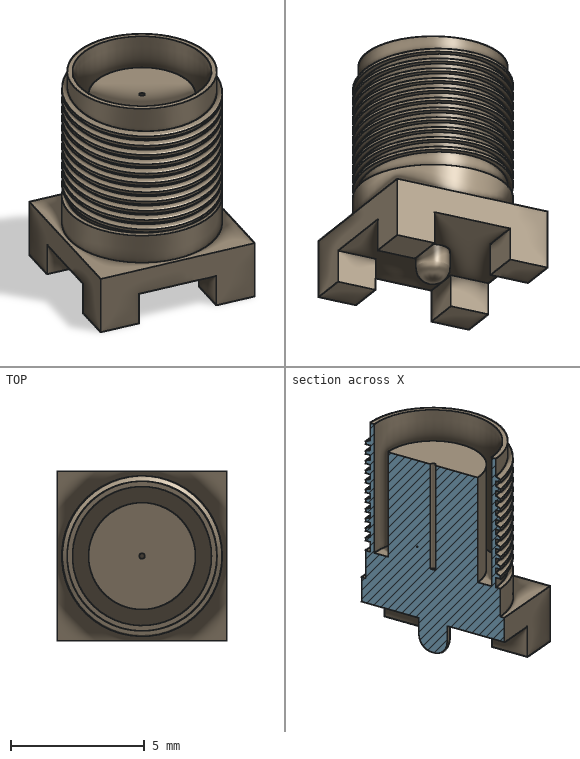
import cadquery as cq


foot_top = 1.27
base_top = 2.31
collar_top = 3.47
barrel_top = 8.84

base_width = 6.35
foot_width = 1.58

barrel_diameter = 5.6
bore_diameter = 5.2
collar_diameter = 6.0
bore_floor = collar_top

insulator_diameter = 4.0
insulator_recess = 1.0
insulator_top = barrel_top - insulator_recess
socket_diameter = 0.2
socket_floor = bore_floor

pin_diameter = 1.27
pin_end_radius = 0.58

ring_count = 11
ring_pitch = 0.402
ring_tilt = 5.0
top_ring_height = 7.885
ring_diameter = collar_diameter
ring_tip_width = 0.12
ring_shoulder_diameter = 5.9
ring_shoulder_width = 0.16
ring_root_width = 0.21
ring_embed = 0.07


def cylinder(diameter, bottom, top):
    """Upright cylinder on the Z axis between two heights."""
    return cq.Workplane("XY").workplane(offset=bottom).circle(diameter / 2).extrude(top - bottom)


def square_base():
    """Square plate with a square foot under each corner."""
    plate_thickness = base_top - foot_top
    plate = cq.Workplane("XY").workplane(offset=foot_top).rect(base_width, base_width).extrude(plate_thickness)
    foot_spacing = base_width - foot_width
    feet = (
        cq.Workplane("XY")
        .rect(foot_spacing, foot_spacing, forConstruction=True)
        .vertices()
        .rect(foot_width, foot_width)
        .extrude(foot_top)
    )
    return plate.union(feet)


def solder_pin():
    """Pin with a rounded lower end."""
    return cylinder(pin_diameter, 0, foot_top).faces("<Z").edges().fillet(pin_end_radius)


def thread_ring(height):
    """One ring, tilted down towards +X, with a flat underside that crosses the Z axis at the given height."""
    root_radius = barrel_diameter / 2
    inner_radius = root_radius - ring_embed
    tip_radius = ring_diameter / 2
    profile = [
        (inner_radius, 0),
        (tip_radius, 0),
        (tip_radius, ring_tip_width),
        (ring_shoulder_diameter / 2, ring_shoulder_width),
        (root_radius, ring_root_width),
        (inner_radius, ring_root_width),
    ]
    ring = cq.Workplane("XZ").polyline(profile).close().revolve(360, (0, 0), (0, 1))
    return ring.rotate((0, 0, 0), (0, 1, 0), ring_tilt).translate((0, 0, height))


def threaded_barrel():
    """Collar and hollow barrel with the thread rings around it."""
    barrel = cylinder(collar_diameter, base_top, collar_top)
    barrel = barrel.union(cylinder(barrel_diameter, collar_top, barrel_top))
    barrel = barrel.cut(cylinder(bore_diameter, bore_floor, barrel_top))
    for index in range(ring_count):
        barrel = barrel.union(thread_ring(top_ring_height - index * ring_pitch))
    return barrel


def insulator():
    """Insulator core with its contact socket."""
    core = cylinder(insulator_diameter, bore_floor, insulator_top)
    return core.cut(cylinder(socket_diameter, socket_floor, insulator_top))


result = square_base().union(solder_pin()).union(threaded_barrel()).union(insulator())